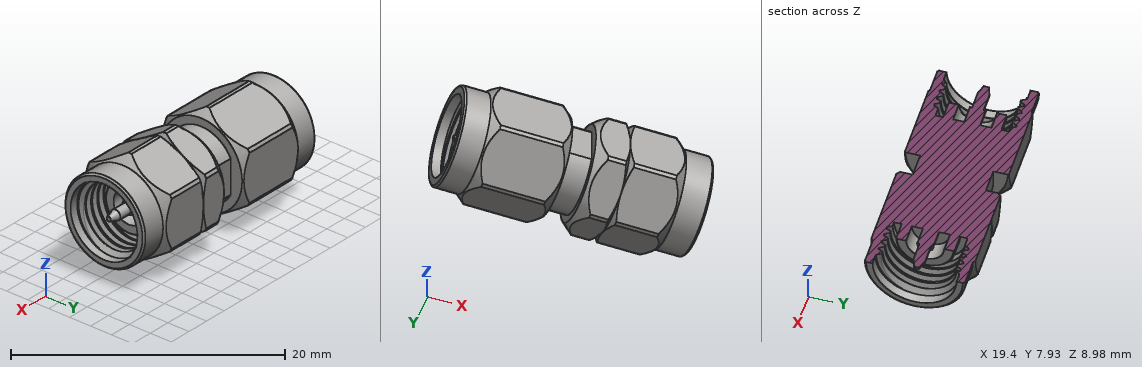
import cadquery as cq
import math


length = 19.4
left_nose_end = 2.02
left_nut_end = 8.36
body_hex_start = 10.25
hex_groove = 12.85
right_nose_start = 17.25

across_flats = 7.93
across_corners = 8.98
hex_corner_radius = across_corners / 2
left_nose_radius = 3.88
right_nose_radius = 3.82
left_end_chamfer = 0.14
right_end_chamfer = 0.15
neck_radius = 3.18
neck_across_flats = 5.59

hex_chamfer_angle = 40.0
groove_angle = 60.0
left_nut_back_radius = 3.88
body_hex_front_radius = 3.75
groove_root_radius = 3.95

mouth_radius = 3.18
mouth_depth = 0.74
bore_radius = 2.77
socket_depth = 4.27

thread_root_radius = 3.16
thread_pitch = 0.7
thread_crest = 0.17
thread_flank_angle = 60.0
thread_start_depth = 0.68
thread_turns = 4.5
thread_overlap = 0.1

contact_radius = 2.23
contact_chamfer = 0.1
contact_face_depth = 2.8
contact_bore_radius = 1.44

conductor_radius = 0.62
pin_radius = 0.91 / 2
pin_tip_radius = 0.4 / 2
pin_tip_depth = 0.55
pin_taper_end = 1.32


def revolve_about_x(points):
    """Turn an outline of (x, radius) points a full circle about the X axis."""
    return cq.Workplane("XY").polyline(points).close().revolve(360, (0, 0, 0), (1, 0, 0))


def cone_run(start_radius, angle):
    """Axial run of a cone rising from start_radius to the hexagon corners."""
    return (hex_corner_radius - start_radius) / math.tan(math.radians(angle))


def make_body():
    """Turned silhouette trimmed by one hexagonal bar."""
    left_run = cone_run(left_nose_radius, hex_chamfer_angle)
    back_run = cone_run(left_nut_back_radius, hex_chamfer_angle)
    front_run = cone_run(body_hex_front_radius, hex_chamfer_angle)
    groove_run = cone_run(groove_root_radius, groove_angle)
    right_run = cone_run(right_nose_radius, hex_chamfer_angle)
    turned = revolve_about_x([
        (0, 0),
        (0, left_nose_radius - left_end_chamfer),
        (left_end_chamfer, left_nose_radius),
        (left_nose_end, left_nose_radius),
        (left_nose_end + left_run, hex_corner_radius),
        (left_nut_end - back_run, hex_corner_radius),
        (left_nut_end, left_nut_back_radius),
        (left_nut_end, neck_radius),
        (body_hex_start, neck_radius),
        (body_hex_start, body_hex_front_radius),
        (body_hex_start + front_run, hex_corner_radius),
        (hex_groove - groove_run, hex_corner_radius),
        (hex_groove, groove_root_radius),
        (hex_groove + groove_run, hex_corner_radius),
        (right_nose_start - right_run, hex_corner_radius),
        (right_nose_start, right_nose_radius),
        (length - right_end_chamfer, right_nose_radius),
        (length, right_nose_radius - right_end_chamfer),
        (length, 0),
    ])
    hex_bar = (
        cq.Workplane("YZ")
        .polygon(6, across_flats, circumscribed=True)
        .extrude(length)
    )
    return turned.intersect(hex_bar)


def cut_neck_flats(body):
    """Mill two parallel flats on the neck, facing +Y and -Y."""
    neck_length = body_hex_start - left_nut_end
    slab_depth = neck_radius - neck_across_flats / 2
    slab_offset = (neck_radius + neck_across_flats / 2) / 2
    neck_middle = (left_nut_end + body_hex_start) / 2
    for side in (-1, 1):
        slab = cq.Workplane("XY").box(neck_length, slab_depth, 2 * neck_radius)
        body = body.cut(slab.translate((neck_middle, side * slab_offset, 0)))
    return body


def make_socket_void():
    """Empty space of a socket opening at x = 0: stepped bore around contact and pin."""
    bore = [
        (0, 0),
        (0, mouth_radius),
        (mouth_depth, mouth_radius),
        (mouth_depth + mouth_radius - bore_radius, bore_radius),
        (socket_depth, bore_radius),
    ]
    contact = [
        (socket_depth, contact_radius),
        (contact_face_depth + contact_chamfer, contact_radius),
        (contact_face_depth, contact_radius - contact_chamfer),
        (contact_face_depth, contact_bore_radius),
        (socket_depth, contact_bore_radius),
    ]
    pin = [
        (socket_depth, conductor_radius),
        (contact_face_depth, conductor_radius),
        (contact_face_depth, pin_radius),
        (pin_taper_end, pin_radius),
        (pin_tip_depth, pin_tip_radius),
        (pin_tip_depth, 0),
    ]
    return revolve_about_x(bore + contact + pin)


def make_thread_groove():
    """Helical groove of a socket opening at x = 0, wound about Z and then laid along X."""
    flank_slope = math.tan(math.radians(thread_flank_angle / 2))
    inner_radius = bore_radius - thread_overlap
    inner_half = (thread_pitch - thread_crest) / 2 + thread_overlap * flank_slope
    root_half = inner_half - (thread_root_radius - inner_radius) * flank_slope
    helix = cq.Wire.makeHelix(thread_pitch, thread_turns * thread_pitch, bore_radius)
    groove = (
        cq.Workplane("XZ")
        .polyline([
            (inner_radius, -inner_half),
            (thread_root_radius, -root_half),
            (thread_root_radius, root_half),
            (inner_radius, inner_half),
        ])
        .close()
        .sweep(cq.Workplane(helix), isFrenet=True)
    )
    return groove.rotate((0, 0, 0), (0, 1, 0), 90).translate((thread_start_depth, 0, 0))


def cut_socket(body, void, groove, turn):
    """Cut one socket, turned about the vertical line through the middle of the body."""
    axis_bottom = (length / 2, 0, 0)
    axis_top = (length / 2, 0, 1)
    for cutter in (void, groove):
        body = body.cut(cutter.rotate(axis_bottom, axis_top, turn))
    return body


socket_void = make_socket_void()
thread_groove = make_thread_groove()

adapter = cut_neck_flats(make_body())
for end_turn in (0, 180):
    adapter = cut_socket(adapter, socket_void, thread_groove, end_turn)
result = adapter.translate((-length / 2, 0, 0))